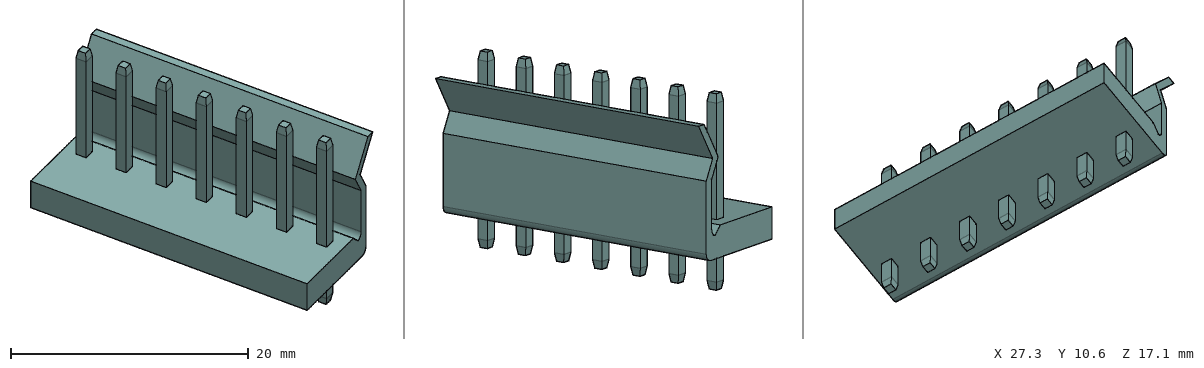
import cadquery as cq
import math

length = 27.32
base_front_y = -5.7
base_height = 2.81
wall_back_y = 3.77
wall_thickness = 0.8
corner_radius = 0.68

bend_z = 7.05
knee_back_y = 2.85
knee_z = 8.82
lip_back_y = 4.85
lip_z = 12.05

groove_depth = 0.76
groove_front_y = 1.75
groove_radius = 0.68

pin_count = 7
pin_pitch = 3.95
pin_width = 1.0
pin_top_z = 13.71
pin_bottom_z = -3.4
tip_length = 0.76
tip_inset = 0.15

wall_front_y = wall_back_y - wall_thickness
knee_front_y = knee_back_y - wall_thickness
lip_front_y = lip_back_y - wall_thickness

groove_floor_y = groove_front_y + groove_depth
groove_floor_z = base_height - groove_depth

arc_center_y = wall_front_y - groove_radius
arc_rise = math.sqrt(groove_radius**2 - (groove_floor_y - arc_center_y) ** 2)
arc_top_z = groove_floor_z + arc_rise


def make_housing():
    """Base, wall and latch as one profile extruded along X."""
    profile = (
        cq.Workplane("YZ")
        .moveTo(base_front_y, 0)
        .lineTo(wall_back_y - corner_radius, 0)
        .tangentArcPoint((wall_back_y, corner_radius), relative=False)
        .lineTo(wall_back_y, bend_z)
        .lineTo(knee_back_y, knee_z)
        .lineTo(lip_back_y, lip_z)
        .lineTo(lip_front_y, lip_z)
        .lineTo(knee_front_y, knee_z)
        .lineTo(wall_front_y, bend_z)
        .lineTo(wall_front_y, arc_top_z)
        .tangentArcPoint((groove_floor_y, groove_floor_z), relative=False)
        .lineTo(groove_front_y, base_height)
        .lineTo(base_front_y, base_height)
        .close()
    )
    return profile.extrude(length / 2, both=True)


def make_tip(shoulder_z, end_z):
    """Tapered pin end, from the full section to a smaller flat."""
    return (
        cq.Workplane("XY", origin=(0, 0, shoulder_z))
        .rect(pin_width, pin_width)
        .workplane(offset=end_z - shoulder_z)
        .rect(pin_width - 2 * tip_inset, pin_width - 2 * tip_inset)
        .loft(ruled=True)
    )


def make_pin():
    """Square pin, tapered at both ends."""
    upper_shoulder_z = pin_top_z - tip_length
    lower_shoulder_z = pin_bottom_z + tip_length
    shank = (
        cq.Workplane("XY", origin=(0, 0, lower_shoulder_z))
        .rect(pin_width, pin_width)
        .extrude(upper_shoulder_z - lower_shoulder_z)
    )
    upper_tip = make_tip(upper_shoulder_z, pin_top_z)
    lower_tip = make_tip(lower_shoulder_z, pin_bottom_z)
    return shank.union(upper_tip).union(lower_tip)


result = make_housing()
pin = make_pin()
for index in range(pin_count):
    pin_x = (index - (pin_count - 1) / 2) * pin_pitch
    result = result.union(pin.translate((pin_x, 0, 0)))